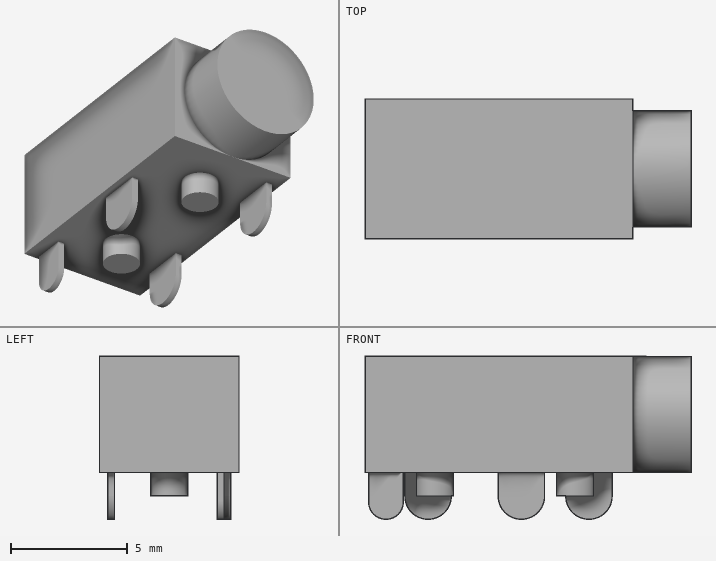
import cadquery as cq

total_length = 14.0
barrel_length = 2.5
body_length = total_length - barrel_length
body_width = 6.0
body_height = 5.0
barrel_diameter = body_height

peg_diameter = 1.6
peg_length = 1.0
peg_positions = (3.0, 9.0)

tab_length = 2.0
tab_thickness = 0.3
tab_width = 2.0
end_tab_width = 1.5
outer_tab_y = 2.49
end_tab_y = tab_thickness - outer_tab_y

tabs = (
    (0.9, end_tab_y, end_tab_width),
    (2.7, outer_tab_y, tab_width),
    (6.7, -outer_tab_y, tab_width),
    (9.6, outer_tab_y, tab_width),
)


def make_body():
    """Rectangular housing: rear face at X = 0, underside at Z = 0."""
    return cq.Workplane("XY").box(
        body_length, body_width, body_height, centered=(False, True, False)
    )


def make_barrel():
    """Round barrel projecting from the front face of the housing."""
    return (
        cq.Workplane("YZ", origin=(body_length, 0, body_height / 2))
        .circle(barrel_diameter / 2)
        .extrude(barrel_length)
    )


def make_peg(x):
    """Locating peg hanging below the housing."""
    return cq.Workplane("XY", origin=(x, 0, 0)).circle(peg_diameter / 2).extrude(-peg_length)


def make_tab(x, y, width):
    """Solder tab hanging below the housing, with a semicircular tip."""
    half_width = width / 2
    tip_start = half_width - tab_length
    return (
        cq.Workplane("XZ", origin=(x, y, 0))
        .moveTo(-half_width, 0)
        .lineTo(-half_width, tip_start)
        .threePointArc((0, -tab_length), (half_width, tip_start))
        .lineTo(half_width, 0)
        .close()
        .extrude(tab_thickness / 2, both=True)
    )


result = make_body().union(make_barrel())
for peg_x in peg_positions:
    result = result.union(make_peg(peg_x))
for tab_x, tab_y, width in tabs:
    result = result.union(make_tab(tab_x, tab_y, width))